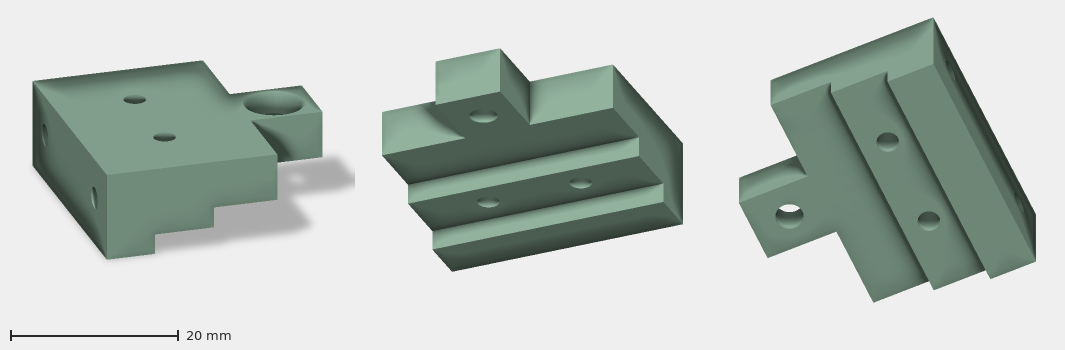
import cadquery as cq
import math

block_width = 30.0
total_length = 30.3
total_height = 11.0

tab_length = 9.0
tab_width = 8.4
block_length = total_length - tab_length

plate_thickness = 5.9
middle_thickness = 8.48
foot_length = 6.0
middle_end = 13.4

screw_diameter = 3.4
countersink_diameter = 7.4
countersink_angle = 90.0
screw_y = total_length - 4.75

hole_diameter = 2.7
vertical_spacing = 12.0
vertical_y = 10.0
front_spacing = 20.0
front_height = 6.0
front_depth = 10.0
drill_tip_angle = 118.0


def make_block():
    """Stepped side profile in the YZ plane, extruded across the width."""
    profile = [
        (0, 0),
        (block_length, 0),
        (block_length, -plate_thickness),
        (middle_end, -plate_thickness),
        (middle_end, -middle_thickness),
        (foot_length, -middle_thickness),
        (foot_length, -total_height),
        (0, -total_height),
    ]
    side = cq.Workplane("YZ").polyline(profile).close()
    return side.extrude(block_width / 2, both=True)


def make_tab():
    """Plate-thick tab, centred on the back face of the block."""
    return (
        cq.Workplane("XY")
        .box(tab_width, tab_length, plate_thickness, centered=(True, False, False))
        .translate((0, block_length, -plate_thickness))
    )


def cut_screw_hole(body):
    """Countersunk through hole in the tab."""
    return (
        body.faces(">Z")
        .workplane(origin=(0, screw_y, 0))
        .cskHole(screw_diameter, countersink_diameter, countersink_angle)
    )


def cut_vertical_holes(body):
    """Pair of through holes from top to bottom."""
    drills = (
        cq.Workplane("XY")
        .pushPoints([(-vertical_spacing / 2, vertical_y), (vertical_spacing / 2, vertical_y)])
        .circle(hole_diameter / 2)
        .extrude(-total_height)
    )
    return body.cut(drills)


def cut_front_holes(body):
    """Pair of blind drilled holes in the front face, each ending in a conical tip."""
    hole_radius = hole_diameter / 2
    tip_length = hole_radius / math.tan(math.radians(drill_tip_angle / 2))
    half_section = [
        (0, 0),
        (hole_radius, 0),
        (hole_radius, front_depth),
        (0, front_depth + tip_length),
    ]
    drill = cq.Workplane("XY").polyline(half_section).close().revolve(360, (0, 0, 0), (0, 1, 0))
    front_z = front_height - total_height
    for x in (-front_spacing / 2, front_spacing / 2):
        body = body.cut(drill.translate((x, 0, front_z)))
    return body


result = make_block().union(make_tab())
result = cut_screw_hole(result)
result = cut_vertical_holes(result)
result = cut_front_holes(result)